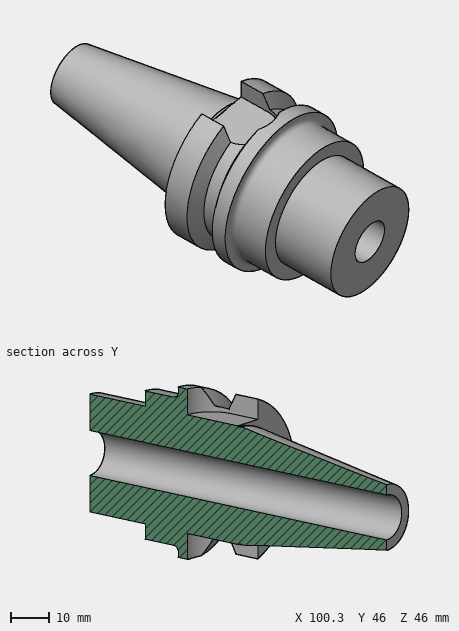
import cadquery as cq
import math

total_length = 100.3
bore_radius = 6.0

taper_length = 48.4
taper_large_radius = 15.9
taper_slope = 7 / 48
taper_small_radius = taper_large_radius - taper_length * taper_slope
land_end = 49.3
neck_radius = 15.8

flange_start = 50.3
flange_end = 70.5
flange_radius = 23.02

groove_center = 61.9
groove_floor_width = 3.8
groove_radius = 19.0
groove_wall_angle = 30.0

collar_radius = 20.1
collar_end = 81.6
collar_fillet = 1.5
nose_radius = 15.9

slot_width = 16.0
slot_floor_height = 16.0
slot_end = 67.3


def turned_body():
    """Revolve the half section from the bore to the outer surface."""
    floor_start = groove_center - groove_floor_width / 2
    floor_end = groove_center + groove_floor_width / 2
    wall_run = (flange_radius - groove_radius) * math.tan(math.radians(groove_wall_angle))
    arc_offset = collar_fillet * (1 - math.sqrt(0.5))
    return (
        cq.Workplane("XY")
        .moveTo(0, bore_radius)
        .lineTo(0, taper_small_radius)
        .lineTo(taper_length, taper_large_radius)
        .lineTo(land_end, taper_large_radius)
        .lineTo(land_end, neck_radius)
        .lineTo(flange_start, neck_radius)
        .lineTo(flange_start, flange_radius)
        .lineTo(floor_start - wall_run, flange_radius)
        .lineTo(floor_start, groove_radius)
        .lineTo(floor_end, groove_radius)
        .lineTo(floor_end + wall_run, flange_radius)
        .lineTo(flange_end, flange_radius)
        .lineTo(flange_end, collar_radius + collar_fillet)
        .threePointArc(
            (flange_end + arc_offset, collar_radius + arc_offset),
            (flange_end + collar_fillet, collar_radius),
        )
        .lineTo(collar_end, collar_radius)
        .lineTo(collar_end, nose_radius)
        .lineTo(total_length, nose_radius)
        .lineTo(total_length, bore_radius)
        .close()
        .revolve(360, (0, 0, 0), (1, 0, 0))
    )


def drive_slot():
    """Round-ended cutter for the upper drive slot, open at the flange face."""
    end_radius = slot_width / 2
    arc_center = slot_end - end_radius
    return (
        cq.Workplane("XY", origin=(0, 0, slot_floor_height))
        .moveTo(flange_start, -end_radius)
        .lineTo(arc_center, -end_radius)
        .threePointArc((slot_end, 0), (arc_center, end_radius))
        .lineTo(flange_start, end_radius)
        .close()
        .extrude(flange_radius)
    )


upper_slot = drive_slot()
lower_slot = upper_slot.mirror("XY")
result = turned_body().cut(upper_slot).cut(lower_slot)